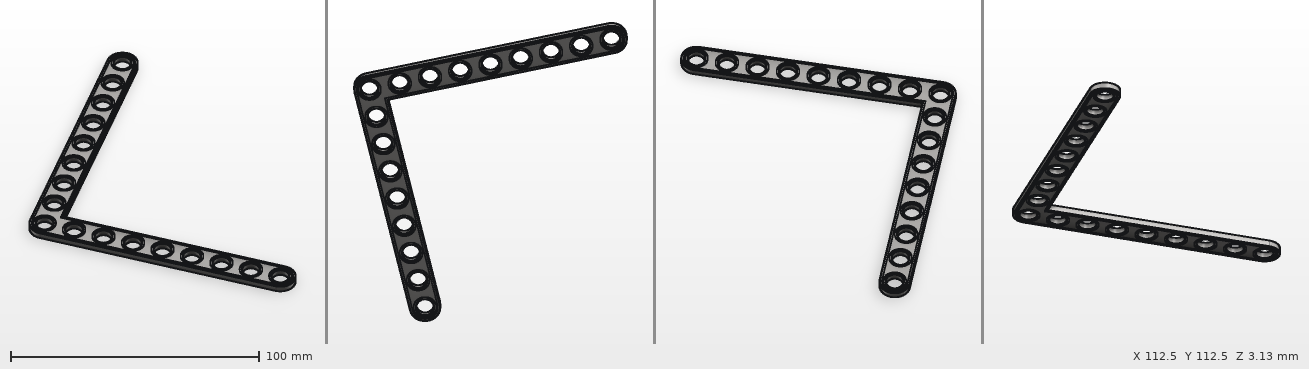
import cadquery as cq

pitch = 12.5
holes_per_arm = 9
thickness = pitch / 4
hole_diameter = 7.0
edge_chamfer = 0.3
rim_width = 1.1
panel_depth = 0.2

arm_length = (holes_per_arm - 1) * pitch
half_arm = arm_length / 2
half_thickness = thickness / 2
rim_diameter = hole_diameter + 2 * rim_width
panel_width = pitch - 2 * rim_width
corner = (-half_arm, -half_arm)
holes_along_x = [(corner[0] + i * pitch, corner[1]) for i in range(holes_per_arm)]
holes_along_y = [(corner[0], corner[1] + i * pitch) for i in range(1, holes_per_arm)]
hole_centres = holes_along_x + holes_along_y


def angle_bar(width, height, base_z):
    """L of two round-ended arms of the given width, centred on the hole rows."""
    base = cq.Workplane("XY", origin=(0, 0, base_z))
    arm_x = base.center(0, corner[1]).slot2D(arm_length + width, width).extrude(height)
    arm_y = base.center(corner[0], 0).slot2D(arm_length + width, width, 90).extrude(height)
    return arm_x.union(arm_y).clean()


def discs(diameter, height, base_z):
    """One cylinder of the given size at every hole centre."""
    return (
        cq.Workplane("XY", origin=(0, 0, base_z))
        .pushPoints(hole_centres)
        .circle(diameter / 2)
        .extrude(height)
    )


def panel_cutter(base_z):
    """Shallow L inside the outline border, leaving the ring around each hole."""
    area = angle_bar(panel_width, panel_depth, base_z)
    return area.cut(discs(rim_diameter, panel_depth, base_z))


plate = angle_bar(pitch, thickness, -half_thickness)
plate = plate.cut(discs(hole_diameter, thickness, -half_thickness))
plate = plate.faces("<Z or >Z").edges().chamfer(edge_chamfer)

for panel_base in (half_thickness - panel_depth, -half_thickness):
    plate = plate.cut(panel_cutter(panel_base))

result = plate